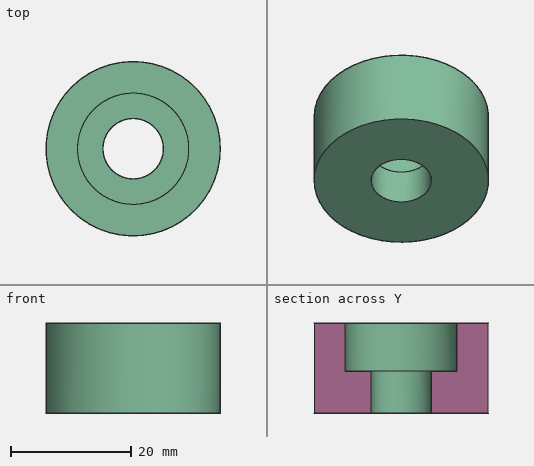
import cadquery as cq

outer_diameter = 29.0
height = 15.0
bore_diameter = 10.0
counterbore_diameter = 18.5
counterbore_depth = 8.0


def make_body():
    """Plain cylinder standing on the XY plane."""
    return cq.Workplane("XY").circle(outer_diameter / 2).extrude(height)


def cut_stepped_bore(body):
    """Through bore with a flat-bottomed counterbore opening at the top face."""
    return body.faces(">Z").workplane().cboreHole(
        bore_diameter, counterbore_diameter, counterbore_depth
    )


result = cut_stepped_bore(make_body())